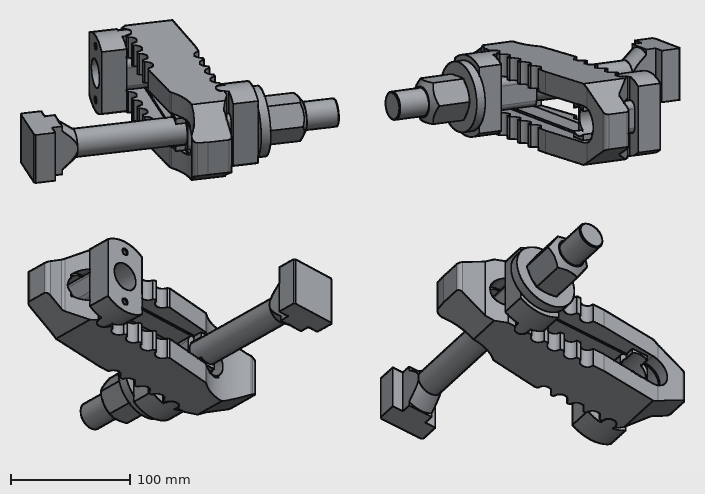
import cadquery as cq
import math


BAR_WIDTH = 70.0
BAR_LEFT = -175.3
BAR_RIGHT = 59.8
BAR_TOP = 50.5
LEFT_END_BOTTOM = 21.0
LEFT_END_TOP = 45.3
RIGHT_END_TOP = 42.5
LEFT_SLOPE_START_X = -145.5
LEFT_SLOPE_END_X = -85.8
RIGHT_SLOPE_START_X = 14.2
RIGHT_SLOPE_END_X = 32.2
END_TAPER_LENGTH = 34.5
END_TAPER_ANGLE = 30
END_ROUND = 3.5
FOOT_ROUND = 4.0
FOOT_TIP_X = -136.0
FOOT_CORNER = (FOOT_TIP_X - LEFT_END_BOTTOM, LEFT_END_BOTTOM)
NOSE_ROUND = 3.5
NOSE_HEEL_ROUND = 2.7
NOSE_HEEL = (52.8, 8.8)
NOSE_TIP = (58.7, 8.8)
NOSE_FACE_TOP = 21.0
ARCH_ROUND = 4.0
ARCH_START = (-3.5, 6.0)
ARCH_CROWN = (26.8, 16.5)

GROOVE_RADIUS = 6.5
GROOVE_COUNT = 5
GROOVE_SPAN = 68.0
GROOVE_PITCH = GROOVE_SPAN / (GROOVE_COUNT - 1)
LOWER_BLOCK_X = -128.5
LOWER_CREST_RISE = 1.0
UPPER_GROOVE_DEPTH = 5.5

SLOT_LEFT = -155.7
SLOT_RIGHT = 28.5
SLOT_WIDTH = 31.4
RIDGE_GAP = 28.0
RIDGE_BOTTOM = 16.3

BLOCK_DIAMETER = 69.7
BLOCK_WIDTH = 40.0
BLOCK_HEIGHT = 21.7
BLOCK_HOLE_DIAMETER = 25.2
RIB_HEIGHT = 9.5
BOSS_WIDTH = 28.5
BOSS_DEPTH = RIDGE_GAP
BOSS_CORNER = 5.5
HOOK_WIDTH = 15.3
HOOK_DEPTH = 30.0
HOOK_HEIGHT = 8.5
DIMPLE_DIAMETER = 4.8
DIMPLE_RIM_DIAMETER = 6.2
DIMPLE_DEPTH = 5.4
DIMPLE_OFFSET = 25.0
DRILL_POINT_ANGLE = 118

BOLT_DIAMETER = 24.0
BOLT_BOTTOM = -119.3
BOLT_LENGTH = 268.0
BOLT_TIP_CHAMFER = 0.8
HEAD_WIDTH = 44.5
HEAD_HEIGHT = 18.2
HEAD_CHAMFER_WIDTH = 1.5
HEAD_CHAMFER_HEIGHT = 1.0
NECK_WIDTH = 23.5
NECK_HEIGHT = 8.8
FLARE_HEIGHT = 13.5
FLARE_RADIUS = 21.5

WASHER_DIAMETER = 60.0
WASHER_THICKNESS = 8.3
NUT_ACROSS_FLATS = 35.6
NUT_HEIGHT = 36.2
NUT_TOP_RADIUS = 13.0
NUT_TOP_CHAMFER = 5.4
NUT_BOTTOM_CHAMFER = 1.0

UPPER_GROOVE_BOTTOM = BAR_TOP - UPPER_GROOVE_DEPTH
LOWER_SHOULDER = GROOVE_RADIUS - RIB_HEIGHT
UPPER_SHOULDER = UPPER_GROOVE_BOTTOM + RIB_HEIGHT
BAR_MIDDLE = (LOWER_SHOULDER + UPPER_SHOULDER) / 2
RIDGE_TOP = 2 * BAR_MIDDLE - RIDGE_BOTTOM
BOSS_HEIGHT = RIDGE_TOP - LOWER_SHOULDER
WASHER_BOTTOM = UPPER_SHOULDER + BLOCK_HEIGHT
NUT_BOTTOM = WASHER_BOTTOM + WASHER_THICKNESS


def rod(diameter, y_start, length):
    """A cylinder on the Y axis that starts at y_start."""
    axis_start = cq.Vector(0, y_start, 0)
    return cq.Workplane(cq.Solid.makeCylinder(diameter / 2, length, axis_start, cq.Vector(0, 1, 0)))


def turned(profile_points):
    """A body turned about the Y axis from (radius, y) points."""
    return cq.Workplane("XY").polyline(profile_points).close().revolve(360, (0, 0, 0), (0, 1, 0))


def box(width, height, depth, y_start):
    """A box centred on X and Z that starts at y_start."""
    return cq.Workplane("XY").box(width, height, depth).translate((0, y_start + height / 2, 0))


def bar_outline():
    """The bar's outline in X and Y with its lower grooves, before corners are rounded."""
    groove_half = math.sqrt(GROOVE_RADIUS**2 - LOWER_CREST_RISE**2)
    foot_x = LOWER_BLOCK_X - groove_half
    outline = (
        cq.Workplane("XY")
        .moveTo(BAR_LEFT, LEFT_END_TOP)
        .lineTo(BAR_LEFT, LEFT_END_BOTTOM)
        .lineTo(*FOOT_CORNER)
        .lineTo(FOOT_TIP_X, 0)
        .lineTo(foot_x, LOWER_CREST_RISE)
    )
    for index in range(GROOVE_COUNT):
        centre = LOWER_BLOCK_X + index * GROOVE_PITCH
        outline = outline.threePointArc((centre, GROOVE_RADIUS), (centre + groove_half, LOWER_CREST_RISE))
        if index < GROOVE_COUNT - 1:
            next_groove = centre + GROOVE_PITCH - groove_half
            outline = outline.threePointArc((centre + GROOVE_PITCH / 2, 0), (next_groove, LOWER_CREST_RISE))
    last_crest_x = LOWER_BLOCK_X + GROOVE_SPAN + GROOVE_PITCH / 2
    return (
        outline.lineTo(last_crest_x, 0)
        .lineTo(*ARCH_START)
        .threePointArc(ARCH_CROWN, NOSE_HEEL)
        .lineTo(*NOSE_TIP)
        .lineTo(BAR_RIGHT, NOSE_FACE_TOP)
        .lineTo(BAR_RIGHT, RIGHT_END_TOP)
        .lineTo(RIGHT_SLOPE_END_X, RIGHT_END_TOP)
        .lineTo(RIGHT_SLOPE_START_X, BAR_TOP)
        .lineTo(LEFT_SLOPE_END_X, BAR_TOP)
        .lineTo(LEFT_SLOPE_START_X, LEFT_END_TOP)
        .close()
    )


def bar_plan():
    """A prism along Y that tapers the bar's width toward both ends."""
    end_drop = END_TAPER_LENGTH * math.tan(math.radians(END_TAPER_ANGLE))
    half = BAR_WIDTH / 2
    points = [
        (BAR_LEFT, half - end_drop),
        (BAR_LEFT + END_TAPER_LENGTH, half),
        (BAR_RIGHT - END_TAPER_LENGTH, half),
        (BAR_RIGHT, half - end_drop),
        (BAR_RIGHT, end_drop - half),
        (BAR_RIGHT - END_TAPER_LENGTH, -half),
        (BAR_LEFT + END_TAPER_LENGTH, -half),
        (BAR_LEFT, end_drop - half),
    ]
    return cq.Workplane("XZ").polyline(points).close().extrude(-BAR_TOP)


def slot():
    """The wide slot from both faces, joined by the narrower passage between the ridges."""
    length = SLOT_RIGHT - SLOT_LEFT
    middle = (SLOT_LEFT + SLOT_RIGHT) / 2

    def passage(width, y_start, y_end):
        total = length - SLOT_WIDTH + width
        return (
            cq.Workplane("XZ", origin=(middle, y_start, 0))
            .slot2D(total, width)
            .extrude(y_start - y_end)
        )

    lower = passage(SLOT_WIDTH, 0, RIDGE_BOTTOM)
    upper = passage(SLOT_WIDTH, RIDGE_TOP, BAR_TOP)
    return lower.union(upper).union(passage(RIDGE_GAP, 0, BAR_TOP))


def round_corner(bar, corner, radius):
    """Rounds the edge along Z nearest to the outline point corner."""
    nearest = cq.selectors.NearestToPointSelector((*corner, 0))
    return bar.edges("|Z").edges(nearest).fillet(radius)


def upper_groove(x):
    return (
        cq.Workplane("XY")
        .center(x, UPPER_GROOVE_BOTTOM + GROOVE_RADIUS)
        .circle(GROOVE_RADIUS)
        .extrude(BAR_WIDTH / 2, both=True)
    )


def make_bar():
    bar = bar_outline().extrude(BAR_WIDTH / 2, both=True)
    for corner, radius in [
        ((BAR_LEFT, LEFT_END_TOP), END_ROUND),
        ((BAR_LEFT, LEFT_END_BOTTOM), END_ROUND),
        ((BAR_RIGHT, RIGHT_END_TOP), END_ROUND),
        (FOOT_CORNER, FOOT_ROUND),
        (ARCH_START, ARCH_ROUND),
        (NOSE_HEEL, NOSE_HEEL_ROUND),
        (NOSE_TIP, NOSE_ROUND),
    ]:
        bar = round_corner(bar, corner, radius)
    for index in range(GROOVE_COUNT):
        bar = bar.cut(upper_groove(-index * GROOVE_PITCH))
    return bar.intersect(bar_plan()).cut(slot())


def make_block():
    total = BLOCK_HEIGHT + BOSS_HEIGHT + HOOK_HEIGHT
    body = box(BLOCK_WIDTH, BLOCK_HEIGHT, BLOCK_DIAMETER, -BLOCK_HEIGHT)
    rib_round_y = RIB_HEIGHT - GROOVE_RADIUS
    rib = (
        cq.Workplane("XY")
        .moveTo(-GROOVE_RADIUS, 0)
        .lineTo(-GROOVE_RADIUS, rib_round_y)
        .threePointArc((0, RIB_HEIGHT), (GROOVE_RADIUS, rib_round_y))
        .lineTo(GROOVE_RADIUS, 0)
        .close()
        .extrude(BLOCK_DIAMETER / 2, both=True)
    )
    block = body.union(rib).intersect(rod(BLOCK_DIAMETER, -BLOCK_HEIGHT, total))
    boss = box(BOSS_WIDTH, BOSS_HEIGHT, BOSS_DEPTH, 0).edges("|Y").fillet(BOSS_CORNER)
    hooks = box(HOOK_WIDTH, HOOK_HEIGHT, HOOK_DEPTH, BOSS_HEIGHT)
    block = block.union(boss).union(hooks).cut(rod(BLOCK_HOLE_DIAMETER, -BLOCK_HEIGHT, total))
    for z in (-DIMPLE_OFFSET, DIMPLE_OFFSET):
        block = block.cut(dimple().translate((0, -BLOCK_HEIGHT, z)))
    return block


def dimple():
    radius = DIMPLE_DIAMETER / 2
    rim_radius = DIMPLE_RIM_DIAMETER / 2
    rim_depth = rim_radius - radius
    point_depth = radius / math.tan(math.radians(DRILL_POINT_ANGLE / 2))
    return turned(
        [
            (0, 0),
            (rim_radius, 0),
            (radius, rim_depth),
            (radius, DIMPLE_DEPTH),
            (0, DIMPLE_DEPTH + point_depth),
        ]
    )


def make_bolt():
    shank = rod(BOLT_DIAMETER, BOLT_BOTTOM, BOLT_LENGTH).faces(">Y").chamfer(BOLT_TIP_CHAMFER)
    head = box(HEAD_WIDTH, HEAD_HEIGHT, HEAD_WIDTH, BOLT_BOTTOM)
    head = head.faces("<Y").edges("|Z").chamfer(HEAD_CHAMFER_HEIGHT, HEAD_CHAMFER_WIDTH)
    neck_start = BOLT_BOTTOM + HEAD_HEIGHT
    neck = box(NECK_WIDTH, NECK_HEIGHT, HEAD_WIDTH, neck_start)
    flare_start = neck_start + NECK_HEIGHT
    flare_end = flare_start + FLARE_HEIGHT
    flare = turned(
        [(0, flare_start), (FLARE_RADIUS, flare_start), (BOLT_DIAMETER / 2, flare_end), (0, flare_end)]
    )
    plate = box(NECK_WIDTH, FLARE_HEIGHT, HEAD_WIDTH, flare_start)
    shank = shank.intersect(rod(BOLT_DIAMETER, flare_end, BOLT_LENGTH))
    return shank.union(head).union(neck).union(flare.intersect(plate))


def make_washer():
    disc = rod(WASHER_DIAMETER, WASHER_BOTTOM, WASHER_THICKNESS)
    return disc.cut(rod(BLOCK_HOLE_DIAMETER, WASHER_BOTTOM, WASHER_THICKNESS))


def make_nut():
    corner_radius = NUT_ACROSS_FLATS / math.sqrt(3)
    top = NUT_BOTTOM + NUT_HEIGHT
    hexagon = (
        cq.Workplane("XZ", origin=(0, NUT_BOTTOM, 0)).polygon(6, 2 * corner_radius).extrude(-NUT_HEIGHT)
    )
    chamfers = turned(
        [
            (0, NUT_BOTTOM),
            (NUT_ACROSS_FLATS / 2, NUT_BOTTOM),
            (corner_radius, NUT_BOTTOM + NUT_BOTTOM_CHAMFER),
            (corner_radius, top - NUT_TOP_CHAMFER),
            (NUT_TOP_RADIUS, top),
            (0, top),
        ]
    )
    return hexagon.intersect(chamfers).cut(rod(BOLT_DIAMETER, NUT_BOTTOM, NUT_HEIGHT))


bar = make_bar()
lower_block = make_block().translate((LOWER_BLOCK_X, LOWER_SHOULDER, 0))
upper_block = make_block().rotate((0, 0, 0), (0, 0, 1), 180).translate((0, UPPER_SHOULDER, 0))
bolt = make_bolt()
washer = make_washer()
nut = make_nut()

result = cq.Compound.makeCompound(
    [bar.val(), lower_block.val(), upper_block.val(), bolt.val(), washer.val(), nut.val()]
)